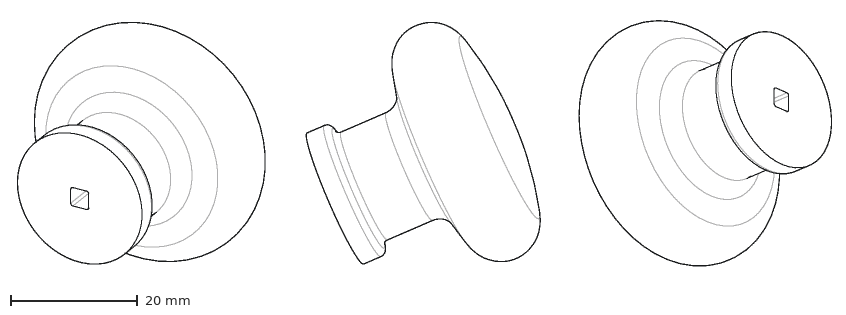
import cadquery as cq
import math


knob_radius = 20.0
knob_length = 30.5
rim_radius = 6.0
rim_center_y = 22.55
underside_angle = math.radians(15)
neck_radius = 9.27
head_neck_fillet = 3.0
flange_height = 4.0
flange_fillet = 1.0
flange_radius = neck_radius + 2 * flange_fillet
spindle_side = 3.25
spindle_corner_radius = 0.4
spindle_depth = 15.0

rim_center_r = knob_radius - rim_radius
dome_rise = knob_length - rim_center_y
dome_radius = (rim_center_r**2 + dome_rise**2 - rim_radius**2) / (2 * (dome_rise - rim_radius))
dome_center_y = knob_length - dome_radius
dome_angle = math.asin(rim_center_r / (dome_radius - rim_radius))

cone_outer_r = rim_center_r + rim_radius * math.sin(underside_angle)
cone_outer_y = rim_center_y - rim_radius * math.cos(underside_angle)
fillet_center_r = neck_radius + head_neck_fillet
cone_inner_r = fillet_center_r - head_neck_fillet * math.sin(underside_angle)
cone_inner_y = cone_outer_y - (cone_outer_r - cone_inner_r) * math.tan(underside_angle)
fillet_center_y = cone_inner_y - head_neck_fillet * math.cos(underside_angle)


def at(radius, y):
    """Profile point, on the -X side of the axis."""
    return (-radius, y)


def on_arc(center_r, center_y, arc_radius, angle):
    """Profile point on an arc; the angle is measured from the outward radial direction."""
    return at(center_r + arc_radius * math.cos(angle), center_y + arc_radius * math.sin(angle))


def make_body():
    quarter = math.pi / 2
    eighth = math.pi / 4
    flange_step_r = neck_radius + flange_fillet
    neck_start_y = flange_height + flange_fillet
    flange_side_y = flange_height - flange_fillet
    fillet_mid_angle = math.pi - (quarter - underside_angle) / 2

    profile = (
        cq.Workplane("XY")
        .moveTo(*at(0, 0))
        .lineTo(*at(flange_radius, 0))
        .lineTo(*at(flange_radius, flange_side_y))
        .threePointArc(
            on_arc(flange_step_r, flange_side_y, flange_fillet, eighth),
            at(flange_step_r, flange_height),
        )
        .threePointArc(
            on_arc(flange_step_r, neck_start_y, flange_fillet, math.pi + eighth),
            at(neck_radius, neck_start_y),
        )
        .lineTo(*at(neck_radius, fillet_center_y))
        .threePointArc(
            on_arc(fillet_center_r, fillet_center_y, head_neck_fillet, fillet_mid_angle),
            at(cone_inner_r, cone_inner_y),
        )
        .lineTo(*at(cone_outer_r, cone_outer_y))
        .threePointArc(
            at(knob_radius, rim_center_y),
            on_arc(rim_center_r, rim_center_y, rim_radius, quarter - dome_angle),
        )
        .threePointArc(
            on_arc(0, dome_center_y, dome_radius, quarter - dome_angle / 2),
            at(0, knob_length),
        )
        .close()
    )
    return profile.revolve(360, (0, 0, 0), (0, 1, 0))


def make_spindle_hole():
    """Blind square hole with rounded corners, opening in the base face."""
    return (
        cq.Workplane("XZ")
        .rect(spindle_side, spindle_side)
        .extrude(-spindle_depth)
        .edges("|Y")
        .fillet(spindle_corner_radius)
    )


result = make_body().cut(make_spindle_hole())